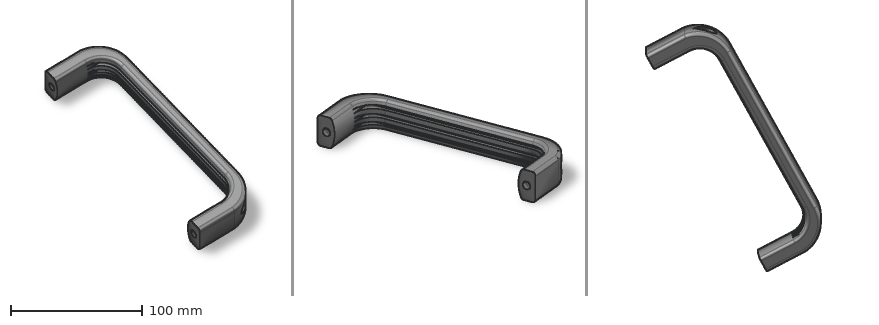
import cadquery as cq
import math

length = 195.0
reach = 58.0
height = 26.0

leg_thickness = 15.5
grip_thickness = 11.9
edge_radius = 3.0
crown_radius = 27.3

bend_width = 27.7
outer_bend_height = 24.8
inner_bend_radius = 16.4

groove_width = 3.0
groove_pitch = 7.0
groove_depth = 3.9

hole_inset = 8.0
hole_diameter = 6.6
counterbore_diameter = 11.5
counterbore_depth = 28.3

half_length = length / 2
half_height = height / 2
inner_x = half_length - leg_thickness
inner_y = reach - grip_thickness

bend_radius = (bend_width**2 + outer_bend_height**2) / (2 * outer_bend_height)
bend_start_x = half_length - bend_width
bend_half_angle = math.atan2(outer_bend_height, bend_width)
bend_mid_x = bend_start_x + bend_radius * math.sin(bend_half_angle)
bend_mid_y = reach - bend_radius * (1 - math.cos(bend_half_angle))
bend_end_y = reach - outer_bend_height


def make_outer_block():
    """Plan outline of the outside of the handle, rounded along its outer edges."""
    block = (
        cq.Workplane("XY")
        .workplane(offset=-half_height)
        .moveTo(-half_length, 0)
        .lineTo(-half_length, bend_end_y)
        .threePointArc((-bend_mid_x, bend_mid_y), (-bend_start_x, reach))
        .lineTo(bend_start_x, reach)
        .threePointArc((bend_mid_x, bend_mid_y), (half_length, bend_end_y))
        .lineTo(half_length, 0)
        .close()
        .extrude(height)
    )
    return block.faces("|Z").edges("not <Y").fillet(edge_radius)


def make_opening():
    """Straight-walled opening between the legs, at the crown of the section."""
    return (
        cq.Workplane("XY")
        .rect(2 * inner_x, 2 * inner_y)
        .extrude(height, both=True)
        .edges("|Z and >Y")
        .fillet(inner_bend_radius)
    )


def make_crown_cutter(side):
    """Strip that crowns the inner wall, swept along the opening; side is +1 or -1 in Z."""
    center_z = half_height - edge_radius
    center_depth = crown_radius - math.sqrt((crown_radius - edge_radius)**2 - center_z**2)
    crown_angle = math.asin(center_z / (crown_radius - edge_radius))
    tangent_depth = crown_radius * (1 - math.cos(crown_angle))
    tangent_z = crown_radius * math.sin(crown_angle)
    crown_mid_depth = crown_radius * (1 - math.cos(crown_angle / 2))
    crown_mid_z = crown_radius * math.sin(crown_angle / 2)
    shoulder_angle = (math.pi / 2 + crown_angle) / 2
    shoulder_mid_depth = center_depth - edge_radius * math.cos(shoulder_angle)
    shoulder_mid_z = center_z + edge_radius * math.sin(shoulder_angle)
    clearance = 2.0

    def place(depth, z):
        return (-inner_x - depth, side * z)

    path = (
        cq.Workplane("XY")
        .moveTo(-inner_x, 0)
        .lineTo(-inner_x, inner_y - inner_bend_radius)
        .radiusArc((-inner_x + inner_bend_radius, inner_y), inner_bend_radius)
        .lineTo(inner_x - inner_bend_radius, inner_y)
        .radiusArc((inner_x, inner_y - inner_bend_radius), inner_bend_radius)
        .lineTo(inner_x, 0)
    )
    return (
        cq.Workplane("XZ")
        .moveTo(*place(0, 0))
        .threePointArc(place(crown_mid_depth, crown_mid_z), place(tangent_depth, tangent_z))
        .threePointArc(place(shoulder_mid_depth, shoulder_mid_z), place(center_depth, half_height))
        .lineTo(*place(center_depth, half_height + clearance))
        .lineTo(*place(-clearance, half_height + clearance))
        .lineTo(*place(-clearance, 0))
        .close()
        .sweep(path)
    )


def make_grooves():
    """Three straight finger grooves along the grip, ending flush with the crowned leg walls."""
    grooves = cq.Workplane("XY")
    for row in (-1, 0, 1):
        groove = (
            cq.Workplane("XY")
            .box(length, inner_y + groove_depth, groove_width, centered=(True, False, True))
            .translate((0, 0, row * groove_pitch))
        )
        grooves = grooves.add(groove)
    crowns = (
        cq.Workplane("XZ")
        .pushPoints([(-inner_x - crown_radius, 0), (inner_x + crown_radius, 0)])
        .circle(crown_radius)
        .extrude(-reach)
    )
    return grooves.combine().cut(crowns)


def drill_leg(body, x):
    """Screw hole along a leg, counterbored from the back of the bend."""
    hole = cq.Workplane("XZ").center(x, 0).circle(hole_diameter / 2).extrude(-reach)
    counterbore = (
        cq.Workplane("XZ", origin=(0, reach, 0))
        .center(x, 0)
        .circle(counterbore_diameter / 2)
        .extrude(counterbore_depth)
    )
    return body.cut(hole).cut(counterbore)


result = make_outer_block().cut(make_opening())
for z_side in (-1, 1):
    result = result.cut(make_crown_cutter(z_side))
result = result.cut(make_grooves())
for x_side in (-1, 1):
    result = drill_leg(result, x_side * (half_length - hole_inset))